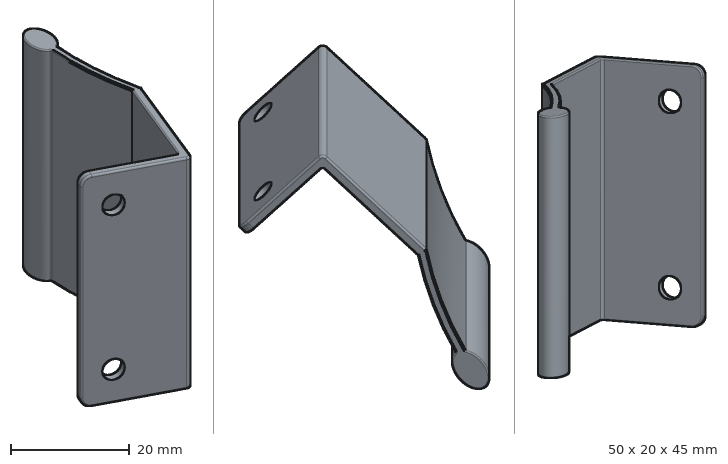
import cadquery as cq
import math

length = 50.0
depth = 20.0
height = 45.0
wall = 1.8

bead_half_length = 4.05
bead_half_width = 2.55
bead_tilt = 8.0
bead_center_y = -10.35
tilt = math.radians(bead_tilt)
bead_center_x = math.hypot(bead_half_length * math.cos(tilt), bead_half_width * math.sin(tilt))

kink_x = 25.1
web_radius = 65.0
web_wall = 1.65
web_kink_angle = 34.0

flange_corner_radius = 2.0
bend_outer_radius = 1.0
bend_inner_radius = 0.5
hole_diameter = 4.0
hole_y = -14.1
hole_end_distance = 6.5

outer_edge_radius = 0.4
inner_edge_radius = 0.25
neck_radius = 0.3

web_center_x = kink_x - web_radius * math.sin(math.radians(web_kink_angle))
web_center_y = web_radius * math.cos(math.radians(web_kink_angle))
front_radius = web_radius + web_wall
front_kink_x = web_center_x + math.sqrt(front_radius**2 - (web_center_y + wall) ** 2)


def web_point(radius, x):
    """Point at the given X on the lower part of an arc about the web centre."""
    return x, web_center_y - math.sqrt(radius**2 - (x - web_center_x) ** 2)


def make_bracket():
    """Flange and flat back, with sharp edges, ending on the mitre line at the kink."""
    return (
        cq.Workplane("XY")
        .moveTo(kink_x, 0)
        .lineTo(length, 0)
        .lineTo(length, -depth)
        .lineTo(length - wall, -depth)
        .lineTo(length - wall, -wall)
        .lineTo(front_kink_x, -wall)
        .close()
        .extrude(height)
    )


def make_web():
    """Curved web from inside the bead to the mitre line."""
    start_x = bead_center_x
    middle_x = (start_x + kink_x) / 2
    return (
        cq.Workplane("XY")
        .moveTo(kink_x, 0)
        .lineTo(front_kink_x, -wall)
        .threePointArc(web_point(front_radius, middle_x), web_point(front_radius, start_x))
        .lineTo(*web_point(web_radius, start_x))
        .threePointArc(web_point(web_radius, middle_x), (kink_x, 0))
        .close()
        .extrude(height)
    )


def make_bead():
    """Tilted oval bead over the full height."""
    return (
        cq.Workplane("XY")
        .center(bead_center_x, bead_center_y)
        .ellipse(bead_half_length, bead_half_width, rotation_angle=bead_tilt)
        .extrude(height)
    )


def make_grip():
    """Web and bead joined with small fillets, with their end rims rounded."""
    grip = make_web().union(make_bead())
    rear_neck = (bead_center_x + bead_half_length - web_wall / 2, bead_center_y + web_wall, height / 2)
    front_neck = (bead_center_x + bead_half_length, bead_center_y, height / 2)
    for neck in (rear_neck, front_neck):
        grip = grip.edges(cq.NearestToPointSelector(neck)).fillet(neck_radius)
    return grip.faces("|Z").edges("not %LINE").fillet(inner_edge_radius)


def round_corners(body):
    """Round the bend inside and out, and the two free corners of the flange."""
    body = body.edges(cq.NearestToPointSelector((length, 0, height / 2))).fillet(bend_outer_radius)
    inner_bend = (length - wall, -wall, height / 2)
    body = body.edges(cq.NearestToPointSelector(inner_bend)).fillet(bend_inner_radius)
    return body.faces("<Y").edges("|X").fillet(flange_corner_radius)


def drill_holes(body):
    """Two through holes in the flange."""
    for z in (hole_end_distance, height - hole_end_distance):
        drill = (
            cq.Workplane("YZ", origin=(length - 2 * wall, 0, 0))
            .center(hole_y, z)
            .circle(hole_diameter / 2)
            .extrude(3 * wall)
        )
        body = body.cut(drill)
    return body


def round_edges(body):
    """Round the rims of the bracket: larger on the outer faces, smaller elsewhere."""
    outer_end = cq.NearestToPointSelector((length, -depth, height / 2))
    body = body.edges(outer_end).fillet(outer_edge_radius)
    inner_end = cq.NearestToPointSelector((length - wall, -depth, height / 2))
    return body.edges(inner_end).fillet(inner_edge_radius)


bracket = drill_holes(round_edges(round_corners(make_bracket())))
result = bracket.union(make_grip())